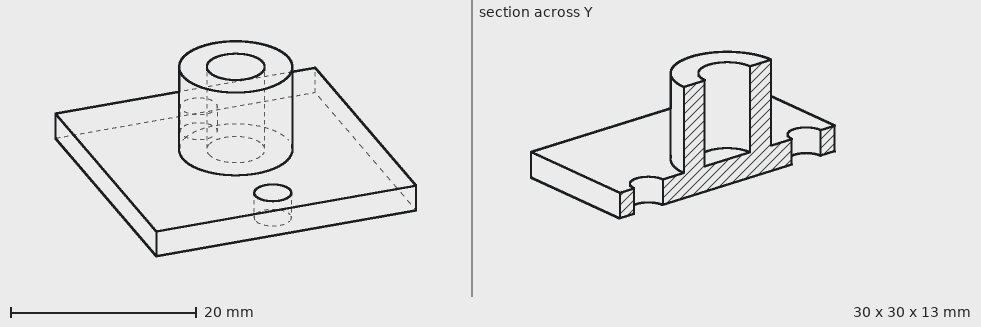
import cadquery as cq

plate_side = 30
plate_thickness = 3

total_height = 13.0
boss_height = total_height - plate_thickness
boss_diameter = 12.2
bore_diameter = 6.25
bore_depth = boss_height

mount_hole_diameter = 4.0
mount_hole_spacing = 22.0

plate = cq.Workplane("XY").rect(plate_side, plate_side).extrude(plate_thickness)

bossed_plate = plate.faces(">Z").workplane().circle(boss_diameter / 2).extrude(boss_height)

bored_part = bossed_plate.faces(">Z").workplane().hole(bore_diameter, bore_depth)

mount_holes = (
    cq.Workplane("XY")
    .rarray(mount_hole_spacing, 0.3, 2, 1)
    .circle(mount_hole_diameter / 2)
    .extrude(plate_thickness)
)

result = bored_part.cut(mount_holes)